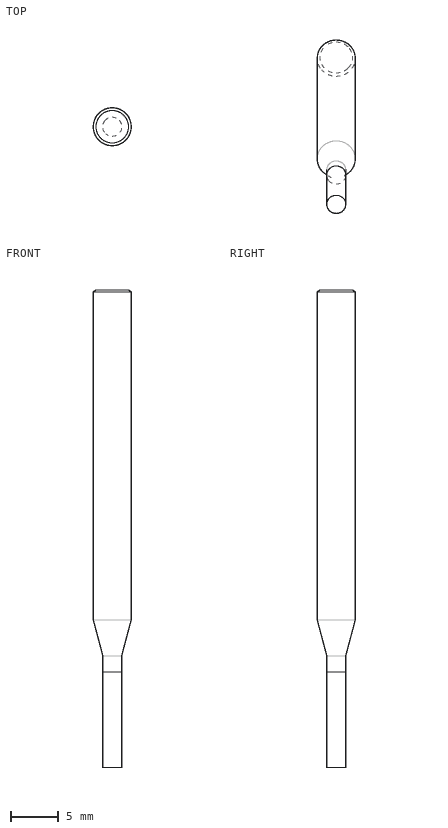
import cadquery as cq
import math

total_length = 50.0
shank_radius = 2.0
cutter_radius = 1.0
cutter_length = 10.0

neck_radius = cutter_radius
neck_top = 11.7

cone_half_angle = 15.0
cone_height = (shank_radius - neck_radius) / math.tan(math.radians(cone_half_angle))
cone_top = neck_top + cone_height

bevel_width = 0.3
bevel_height = 0.2


def revolve_profile(points):
    """Revolve a closed (Y, Z) half profile, lying on the -Y side, about the Z axis."""
    return cq.Workplane("YZ").polyline(points).close().revolve(360, (0, 0, 0), (0, 1, 0))


def make_cutter():
    return revolve_profile([
        (0, 0),
        (-cutter_radius, 0),
        (-cutter_radius, cutter_length),
        (0, cutter_length),
    ])


def make_shank():
    return revolve_profile([
        (0, cutter_length),
        (-neck_radius, cutter_length),
        (-neck_radius, neck_top),
        (-shank_radius, cone_top),
        (-shank_radius, total_length - bevel_height),
        (-(shank_radius - bevel_width), total_length),
        (0, total_length),
    ])


cutter = make_cutter()
shank = make_shank()

result = cq.Compound.makeCompound([cutter.val(), shank.val()])